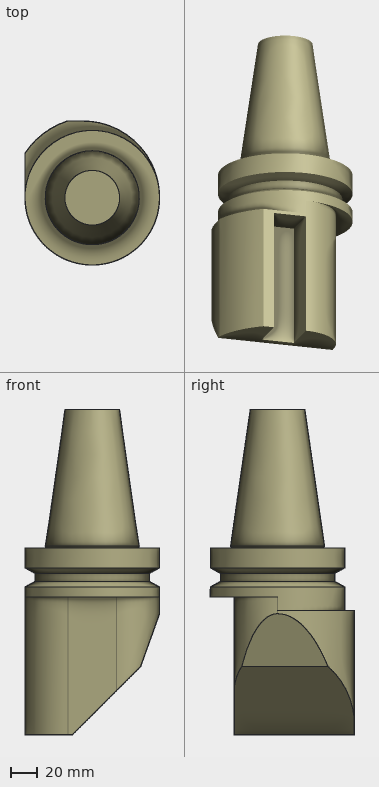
import cadquery as cq
import math

total_height = 241.8
flange_radius = 50.0
groove_radius = 42.5
taper_top_radius = 20.3
taper_base_radius = 34.95
collar_radius = 34.3
collar_height = 1.5
flange_top = 138.8
groove_upper_rim = 124.0
groove_upper_root = 120.0
groove_lower_root = 114.0
groove_lower_rim = 109.8
flange_bottom = 102.3

front_depth = 32.2
rear_top = 92.4
rear_depth = 57.0
rear_left_radius = 60.0
rear_right_radius = rear_depth
rear_right_center = flange_radius - rear_right_radius

slot_width = 25.0
slot_height = 90.0
slot_depth = 29.0

relief_start_x = -14.7
relief_knee_z = 50.8
relief_knee_x = relief_start_x + relief_knee_z
relief_top_z = 90.0


def make_shank():
    profile = [
        (0, flange_bottom),
        (flange_radius, flange_bottom),
        (flange_radius, groove_lower_rim),
        (groove_radius, groove_lower_root),
        (groove_radius, groove_upper_root),
        (flange_radius, groove_upper_rim),
        (flange_radius, flange_top),
        (collar_radius, flange_top),
        (taper_base_radius, flange_top + collar_height),
        (taper_top_radius, total_height),
        (0, total_height),
    ]
    return cq.Workplane("YZ").polyline(profile).close().revolve(360, (0, 0), (0, 1))


def make_front_block():
    """Block at Y < 0 with both corners rounded to its full depth."""
    flat_half = flange_radius - front_depth
    return (
        cq.Workplane("XY")
        .moveTo(-flange_radius, 0)
        .radiusArc((-flat_half, -front_depth), -front_depth)
        .lineTo(flat_half, -front_depth)
        .radiusArc((flange_radius, 0), -front_depth)
        .close()
        .extrude(flange_bottom)
    )


def make_rear_block():
    """Block at Y > 0, with a half-round neck joining it to the flange."""
    side_end_y = math.sqrt(rear_left_radius**2 - flange_radius**2)
    back_start_x = -math.sqrt(rear_left_radius**2 - rear_depth**2)
    block = (
        cq.Workplane("XY")
        .moveTo(-flange_radius, 0)
        .lineTo(-flange_radius, side_end_y)
        .radiusArc((back_start_x, rear_depth), rear_left_radius)
        .lineTo(rear_right_center, rear_depth)
        .radiusArc((flange_radius, 0), rear_right_radius)
        .close()
        .extrude(rear_top)
    )
    neck = (
        cq.Workplane("XY", origin=(0, 0, rear_top))
        .moveTo(-flange_radius, 0)
        .threePointArc((0, flange_radius), (flange_radius, 0))
        .close()
        .extrude(flange_bottom - rear_top)
    )
    return block.union(neck)


def make_slot():
    slot = cq.Workplane("XY").box(slot_depth, slot_width, slot_height, centered=False)
    return slot.translate((-flange_radius, 0, 0))


def make_relief():
    relief_half_width = rear_left_radius
    outline = [
        (relief_start_x, 0),
        (relief_knee_x, relief_knee_z),
        (flange_radius, relief_top_z),
        (flange_radius, 0),
    ]
    return cq.Workplane("XZ").polyline(outline).close().extrude(relief_half_width, both=True)


block = make_front_block().union(make_rear_block())
block = block.cut(make_slot()).cut(make_relief())
result = make_shank().union(block)